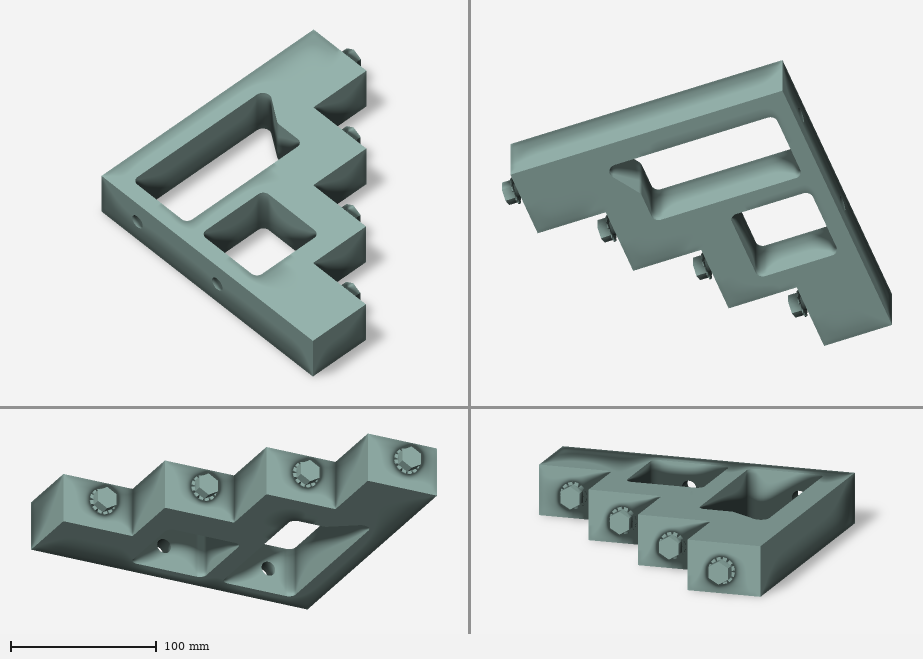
import cadquery as cq
import math

step_count = 4
block_width = 212.0
block_depth = 200.0
block_thickness = 36.0
step_width = block_width / step_count
step_depth = block_depth / step_count

floor_wall = 12.4
roof_wall = 28.2
pocket_corner_radius = 5.1
long_pocket_left = 17.7
long_pocket_right = 72.3
long_pocket_roof = 3 * step_depth - roof_wall
slope_start_x = 47.0
slope_angle = 33
peak_radius = 6.0
short_pocket_left = 86.2
short_pocket_right = 142.3
short_pocket_roof = 2 * step_depth - roof_wall

edge_hole_diameter = 10.5
edge_hole_positions = (36.0, 116.0)
edge_hole_depth = floor_wall + pocket_corner_radius

overall_depth = 213.5
bolt_projection = overall_depth - block_depth
bolt_inset = 26.0
shank_diameter = 10.0
shank_embedment = 2.1
head_across_flats = 14.0
head_height = 7.0
washer_ring_diameter = 14.0
washer_diameter = 19.0
washer_thickness = 0.9
tooth_count = 12
tooth_width = 3.0


def make_block():
    """Staircase plate whose steps fall from left to right."""
    outline = [(0, 0)]
    for step in range(step_count):
        level = block_depth - step * step_depth
        outline.append((step * step_width, level))
        outline.append(((step + 1) * step_width, level))
    outline.append((block_width, 0))
    return extrude_through(outline)


def extrude_through(outline):
    """Prism over the full block thickness."""
    return (
        cq.Workplane("XY")
        .polyline(outline)
        .close()
        .extrude(block_thickness / 2, both=True)
    )


def long_pocket():
    """Tall pocket whose roof slopes up to a rounded peak at its left wall."""
    slope_run = slope_start_x - long_pocket_left
    peak = long_pocket_roof + slope_run * math.tan(math.radians(slope_angle))
    pocket = extrude_through([
        (long_pocket_left, floor_wall),
        (long_pocket_right, floor_wall),
        (long_pocket_right, long_pocket_roof),
        (slope_start_x, long_pocket_roof),
        (long_pocket_left, peak),
    ])
    pocket = pocket.edges("|Z").edges("not >Y").fillet(pocket_corner_radius)
    return pocket.edges("|Z").edges(">Y").fillet(peak_radius)


def short_pocket():
    """Rectangular pocket."""
    pocket = extrude_through([
        (short_pocket_left, floor_wall),
        (short_pocket_right, floor_wall),
        (short_pocket_right, short_pocket_roof),
        (short_pocket_left, short_pocket_roof),
    ])
    return pocket.edges("|Z").fillet(pocket_corner_radius)


def edge_hole(x):
    """Round hole running along Y from the straight edge."""
    hole = cq.Workplane("XZ").circle(edge_hole_diameter / 2).extrude(-edge_hole_depth)
    return hole.translate((x, 0, 0))


def make_washer():
    """External tooth lock washer centred on the XY plane."""
    washer = (
        cq.Workplane("XY")
        .circle(washer_ring_diameter / 2)
        .extrude(washer_thickness / 2, both=True)
    )
    tooth_root = shank_diameter / 2
    tooth_length = washer_diameter / 2 - tooth_root
    tooth = (
        cq.Workplane("XY")
        .box(tooth_length, tooth_width, washer_thickness)
        .translate((tooth_root + tooth_length / 2, 0, 0))
    )
    for index in range(tooth_count):
        angle = (index + 0.5) * 360 / tooth_count
        washer = washer.union(tooth.rotate((0, 0, 0), (0, 0, 1), angle))
    return washer


def make_bolt():
    """Hex bolt with its lock washer, head towards +Y, with Y = 0 on the step face."""
    head_base = bolt_projection - head_height
    across_corners = head_across_flats / math.cos(math.radians(30))
    shank = (
        cq.Workplane("XY")
        .workplane(offset=-shank_embedment)
        .circle(shank_diameter / 2)
        .extrude(shank_embedment + head_base)
    )
    head = (
        cq.Workplane("XY")
        .workplane(offset=head_base)
        .polygon(6, across_corners)
        .extrude(head_height)
        .rotate((0, 0, 0), (0, 0, 1), 90)
    )
    washer = make_washer().translate((0, 0, head_base - washer_thickness / 2))
    bolt = shank.union(head).union(washer)
    return bolt.rotate((0, 0, 0), (1, 0, 0), -90)


result = make_block().cut(long_pocket()).cut(short_pocket())

for hole_x in edge_hole_positions:
    result = result.cut(edge_hole(hole_x))

bolt = make_bolt()
for step in range(step_count):
    bolt_x = step * step_width + bolt_inset
    step_face = block_depth - step * step_depth
    result = result.union(bolt.translate((bolt_x, step_face, 0)))